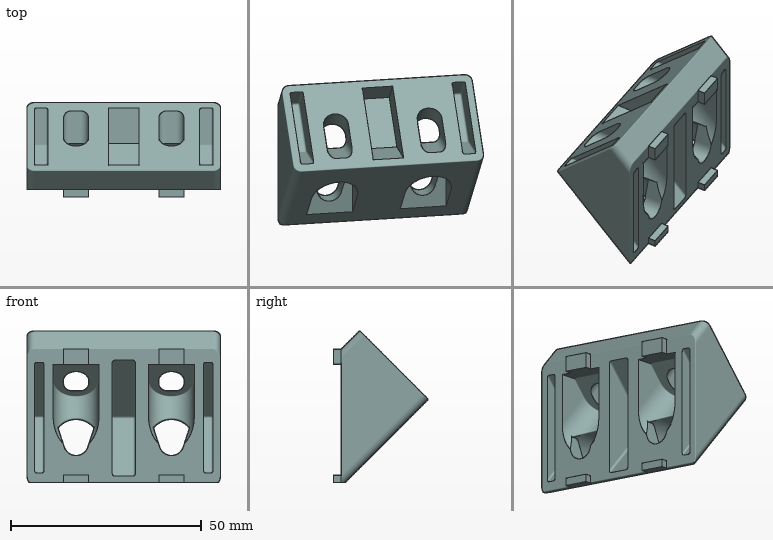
import cadquery as cq
import math

ROOT2 = math.sqrt(2)

WIDTH = 50.8
APEX_Z = 39.873
FRONT_TOP_Z = 35.0
FOOT_Y = 1.08
CORNER_RADIUS = 2.0
EDGE_FILLET = 0.2
BODY_DEPTH = (2 * APEX_Z - FRONT_TOP_Z) / ROOT2
BODY_BOTTOM = -FOOT_Y / ROOT2
BODY_TOP = FRONT_TOP_Z / ROOT2
BEYOND = 60.0

STATION_X = 12.5
TAB_WIDTH = 6.6
TAB_PROJECTION = 2.0
TAB_ROOT = 1.0
LOWER_TAB_HEIGHT = 2.0
UPPER_TAB_HEIGHT = 4.0

BORE_RADIUS = 6.0
BORE_AXIS_HEIGHT = 12.23
BORE_CEILING_Z = FRONT_TOP_Z - UPPER_TAB_HEIGHT
BORE_SEAT_FILLET = 0.2
SEAT_THICKNESS = 6.0
SEAT_DEPTH = BODY_DEPTH - SEAT_THICKNESS

SLOT_RADIUS = 3.3
SLOT_FLOOR_Z = 24.15
SLOT_FLOOR_RADIUS = 2.0
SLOT_OVERLAP = 1.0

KEYHOLE_Z = 10.4
KEYHOLE_RADIUS = 3.25
KEYHOLE_FLARE = math.radians(18)
RECESS_RADIUS = 6.15
RECESS_SEAT_Y = 4.9
ARCH_FILLET = 0.3
ARCH_SEARCH = 1.5

SIDE_POCKET_OUTER_X = 23.4
SIDE_FRONT_WIDTH = 2.5
SIDE_TOP_WIDTH = 3.5
SIDE_FILLET = 0.5
SIDE_FRONT_BOTTOM_Z = 2.6
SIDE_FRONT_TOP_Z = 31.5
SIDE_WEB = 2.4
CENTER_FRONT_WIDTH = 6.1
CENTER_TOP_WIDTH = 8.1
CENTER_FILLET = 0.6
CENTER_FRONT_BOTTOM_Z = 1.75
CENTER_FRONT_TOP_Z = 32.1
CENTER_WEB = 2.4
TOP_POCKET_FLOOR_Z = 23.4
TOP_POCKET_UPPER_Y = 6.4


def tilted_plane(x=0.0, depth=0.0):
    """Plane square to the depth direction; local y is height, local x is -X."""
    offset = depth / ROOT2
    return cq.Workplane(cq.Plane(origin=(x, offset, offset), xDir=(-1, 0, 0), normal=(0, 1, 1)))


def box_between(low, high):
    size = [b - a for a, b in zip(low, high)]
    return cq.Workplane("XY").box(*size, centered=False).translate(low)


def make_body():
    height = BODY_TOP - BODY_BOTTOM
    prism = (
        tilted_plane(depth=-BEYOND)
        .center(0, (BODY_TOP + BODY_BOTTOM) / 2)
        .rect(WIDTH, height)
        .extrude(BEYOND + BODY_DEPTH)
        .edges("|(0, 1, 1)")
        .fillet(CORNER_RADIUS)
    )
    kept = box_between((-WIDTH, 0, 0), (WIDTH, BEYOND, BEYOND))
    body = prism.intersect(kept)
    body = body.faces("<Y").edges().fillet(EDGE_FILLET)
    return body.faces(">(0, 1, 1)").fillet(EDGE_FILLET)


def make_tab(x, bottom, height):
    half = TAB_WIDTH / 2
    return box_between((x - half, -TAB_PROJECTION, bottom), (x + half, TAB_ROOT, bottom + height))


def make_bore(x):
    length = SEAT_DEPTH + BEYOND
    plane = tilted_plane(x, SEAT_DEPTH)
    rounded = plane.center(0, BORE_AXIS_HEIGHT).circle(BORE_RADIUS).extrude(-length)
    straight = (
        plane.center(0, BORE_AXIS_HEIGHT + BEYOND / 2)
        .rect(2 * BORE_RADIUS, BEYOND)
        .extrude(-length)
    )
    below_ceiling = box_between(
        (x - WIDTH, -BEYOND, -BEYOND), (x + WIDTH, BEYOND, BORE_CEILING_Z)
    )
    bore = rounded.union(straight).intersect(below_ceiling)
    return bore.faces(">(0, 1, 1)").edges().fillet(BORE_SEAT_FILLET)


def make_slot(x):
    """Round upper end along the depth direction, level floor with rounded corners."""
    start = SEAT_DEPTH - SLOT_OVERLAP
    plane = tilted_plane(x, start)
    rounded = plane.center(0, BORE_AXIS_HEIGHT).circle(SLOT_RADIUS).extrude(BEYOND)
    straight = (
        plane.center(0, BORE_AXIS_HEIGHT - BEYOND / 2)
        .rect(2 * SLOT_RADIUS, BEYOND)
        .extrude(BEYOND)
    )
    channel = (
        box_between(
            (x - SLOT_RADIUS, 0, SLOT_FLOOR_Z), (x + SLOT_RADIUS, BEYOND, SLOT_FLOOR_Z + BEYOND)
        )
        .faces("<Z")
        .edges("|Y")
        .fillet(SLOT_FLOOR_RADIUS)
    )
    return rounded.union(straight).intersect(channel)


def make_keyhole(x):
    """Round bottom, flared flanks tangent to it and an arch on top, cut along Y."""
    side_x = KEYHOLE_RADIUS * math.cos(KEYHOLE_FLARE)
    side_z = -KEYHOLE_RADIUS * math.sin(KEYHOLE_FLARE)
    flank = math.sqrt(RECESS_RADIUS**2 - KEYHOLE_RADIUS**2)
    arch_x = side_x + flank * math.sin(KEYHOLE_FLARE)
    arch_z = side_z + flank * math.cos(KEYHOLE_FLARE)
    plane = cq.Plane(origin=(x, 0, KEYHOLE_Z), xDir=(1, 0, 0), normal=(0, -1, 0))
    return (
        cq.Workplane(plane)
        .moveTo(-side_x, side_z)
        .threePointArc((0, -KEYHOLE_RADIUS), (side_x, side_z))
        .lineTo(arch_x, arch_z)
        .threePointArc((0, RECESS_RADIUS), (-arch_x, arch_z))
        .close()
        .extrude(-RECESS_SEAT_Y)
    )


def make_recess(x):
    plane = cq.Plane(origin=(x, RECESS_SEAT_Y, KEYHOLE_Z), xDir=(1, 0, 0), normal=(0, -1, 0))
    return (
        cq.Workplane(plane)
        .moveTo(-RECESS_RADIUS, 0)
        .threePointArc((0, RECESS_RADIUS), (RECESS_RADIUS, 0))
        .lineTo(RECESS_RADIUS, -BEYOND)
        .lineTo(-RECESS_RADIUS, -BEYOND)
        .close()
        .extrude(-BEYOND)
    )


def make_front_pocket(x, width, bottom_z, top_z, fillet):
    """Tilted box whose floor and lower wall meet the front plane at top_z and bottom_z."""
    bottom = bottom_z / ROOT2
    return (
        tilted_plane(x, top_z / ROOT2)
        .center(0, bottom + BEYOND / 2)
        .rect(width, BEYOND)
        .extrude(-BEYOND)
        .edges()
        .fillet(fillet)
    )


def make_top_pocket(x, width, floor_depth):
    """Pocket with a level floor, a back parallel to the upper face and a tilted upper wall."""
    face_sum = BODY_DEPTH * ROOT2
    back_sum = floor_depth * ROOT2
    wall = face_sum - 2 * TOP_POCKET_UPPER_Y
    outside = face_sum + BEYOND
    points = [
        (back_sum - TOP_POCKET_FLOOR_Z, TOP_POCKET_FLOOR_Z),
        (outside - TOP_POCKET_FLOOR_Z, TOP_POCKET_FLOOR_Z),
        ((outside - wall) / 2, (outside + wall) / 2),
        ((back_sum - wall) / 2, (back_sum + wall) / 2),
    ]
    return cq.Workplane("YZ", origin=(x, 0, 0)).polyline(points).close().extrude(width / 2, both=True)


def blunt_arch(body, x):
    """Round the thin lip where the recess arch breaks into the screw bore."""
    crown_z = KEYHOLE_Z + RECESS_RADIUS
    low = (x - ARCH_SEARCH, RECESS_SEAT_Y, crown_z - ARCH_SEARCH)
    high = (x + ARCH_SEARCH, RECESS_SEAT_Y + 2 * ARCH_SEARCH, crown_z + ARCH_SEARCH)
    return body.edges(cq.selectors.BoxSelector(low, high)).fillet(ARCH_FILLET)


def cut_stations(body):
    for x in (-STATION_X, STATION_X):
        for make_cut in (make_bore, make_slot, make_keyhole, make_recess):
            body = body.cut(make_cut(x))
        body = blunt_arch(body, x)
    return body


def cut_pockets(body):
    body = body.cut(
        make_front_pocket(
            0, CENTER_FRONT_WIDTH, CENTER_FRONT_BOTTOM_Z, CENTER_FRONT_TOP_Z, CENTER_FILLET
        )
    )
    center_back = CENTER_FRONT_TOP_Z / ROOT2 + CENTER_WEB
    body = body.cut(make_top_pocket(0, CENTER_TOP_WIDTH, center_back))
    side_back = SIDE_FRONT_TOP_Z / ROOT2 + SIDE_WEB
    for side in (-1, 1):
        front_x = side * (SIDE_POCKET_OUTER_X - SIDE_FRONT_WIDTH / 2)
        top_x = side * (SIDE_POCKET_OUTER_X - SIDE_TOP_WIDTH / 2)
        front_pocket = make_front_pocket(
            front_x, SIDE_FRONT_WIDTH, SIDE_FRONT_BOTTOM_Z, SIDE_FRONT_TOP_Z, SIDE_FILLET
        )
        top_pocket = make_top_pocket(top_x, SIDE_TOP_WIDTH, side_back).edges().fillet(SIDE_FILLET)
        body = body.cut(front_pocket).cut(top_pocket)
    return body


def add_tabs(body):
    for x in (-STATION_X, STATION_X):
        body = body.union(make_tab(x, 0, LOWER_TAB_HEIGHT))
        body = body.union(make_tab(x, BORE_CEILING_Z, UPPER_TAB_HEIGHT))
    return body


result = add_tabs(cut_pockets(cut_stations(make_body())))